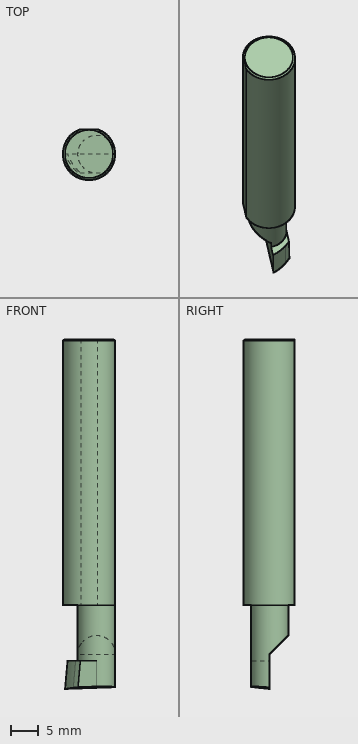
import cadquery as cq
import math

overall_length = 63.5
shank_diameter = 9.525
shank_radius = shank_diameter / 2
across_flat = 9.27
shank_chamfer_radial = 0.4
shank_chamfer_height = 0.23

neck_length = 15.24
neck_diameter = 6.86
neck_radius = neck_diameter / 2
neck_x = shank_radius - neck_radius
shoulder_z = neck_length

ramp_end_depth = 8.9
ramp_end_z = shoulder_z - ramp_end_depth

head_height = 5.15
tip_x = -4.37
side_taper = 5.0
flank_width = 1.45
flank_depth = 2.5
flank_radius = 8.0
heel_width = 0.9

end_relief = 5.0
end_dish = 2.0


def make_shank():
    """Round bar with a chamfered top and one full-length flat on +Y."""
    profile = [
        (0, shoulder_z),
        (shank_radius, shoulder_z),
        (shank_radius, overall_length - shank_chamfer_height),
        (shank_radius - shank_chamfer_radial, overall_length),
        (0, overall_length),
    ]
    bar = cq.Workplane("XZ").polyline(profile).close().revolve(360, (0, 0), (0, 1))
    keep = cq.Workplane("XY").box(
        shank_diameter, across_flat, overall_length, centered=(True, False, False)
    ).translate((0, -shank_radius, 0))
    return bar.intersect(keep)


def make_neck():
    """Offset cylinder, cut back to the rake face at Y = 0 below the ramp."""
    neck = cq.Workplane("XY").center(neck_x, 0).circle(neck_radius).extrude(shoulder_z)
    relief_outline = [
        (0, 0),
        (neck_diameter, 0),
        (neck_diameter, ramp_end_z + neck_diameter),
        (0, ramp_end_z),
    ]
    relief = (
        cq.Workplane("YZ").polyline(relief_outline).close()
        .extrude(shank_diameter, both=True)
    )
    return neck.cut(relief)


def make_head():
    """Cutting head with a round flank and flat heel leaning inward toward the top."""
    flank_chord = math.hypot(flank_width, flank_depth)
    flank_bulge = flank_radius - math.sqrt(flank_radius**2 - (flank_chord / 2) ** 2)
    outward = cq.Vector(-flank_depth, -flank_width, 0).normalized()
    lean = head_height * math.tan(math.radians(side_taper))

    def outline(corner_x, z):
        corner = cq.Vector(corner_x, 0, z)
        flank_end = cq.Vector(corner_x + flank_width, -flank_depth, z)
        heel_end = cq.Vector(flank_end.x + heel_width, -neck_radius, z)
        front_end = cq.Vector(neck_x, -neck_radius, z)
        inner_corner = cq.Vector(neck_x, 0, z)
        flank_middle = (corner + flank_end) * 0.5 + outward * flank_bulge
        flank = cq.Edge.makeThreePointArc(corner, flank_middle, flank_end)
        straight_points = [flank_end, heel_end, front_end, inner_corner, corner]
        sides = [cq.Edge.makeLine(a, b) for a, b in zip(straight_points, straight_points[1:])]
        return cq.Wire.assembleEdges([flank] + sides)

    wires = [outline(tip_x, 0), outline(tip_x + lean, head_height)]
    return cq.Workplane(cq.Solid.makeLoft(wires, ruled=True))


def make_end_cutter():
    """Block whose top is the end face, passing through the cutting corner."""
    size = 2 * shank_diameter
    return (
        cq.Workplane("XY").box(size, size, size).translate((0, 0, -size / 2))
        .rotate((0, 0, 0), (1, 0, 0), -end_relief)
        .rotate((0, 0, 0), (0, 1, 0), -end_dish)
        .translate((tip_x, 0, 0))
    )


result = make_shank().union(make_neck()).union(make_head()).cut(make_end_cutter())